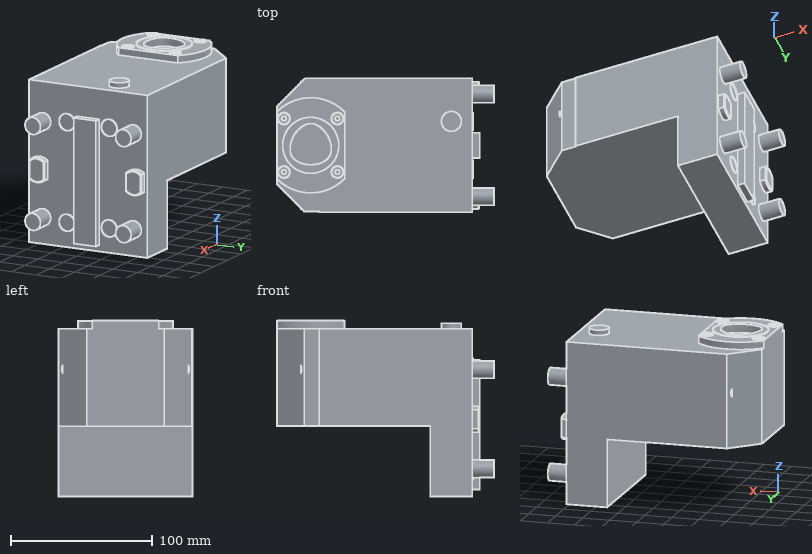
import cadquery as cq
import math


overall_length = 154.0
overall_height = 125.0
body_length = 138.6
body_width = 95.0
half_width = body_width / 2
body_top = 119.0
leg_length = 30.0
leg_height = 49.9
nose_chamfer = 20.0
nose_relief_length = 30.0
nose_relief_depth = 0.54

flange_center_x = 24.0
flange_radius = 33.7
flange_top = 124.5
raised_height = overall_height - flange_top
collar_radius = 19.9

socket_mean_radius = 14.6
socket_lobe = 0.8
socket_depth = 6.2
socket_points = 60

screw_offset = 19.0
screw_head_radius = 4.3
screw_head_chamfer = 0.3
hex_corner_diameter = 3.5
hex_depth = 0.6

cap_x = 123.7
cap_y = 17.0
cap_radius = 7.1
cap_height = 3.8

bolt_y = 36.3
bolt_radius = 12.5 / 2
bolt_spacing_z = 70.2
mount_center_z = 54.8

plug_y = 40.3
plug_z = 90.2
plug_radius = 5.0
plug_face_x = 17.0

pin_y = 38.8
pin_radius = 18.3 / 2
pin_half_thickness = 6.3
pin_length = 5.0
pin_chamfer = 0.8

key_width = 18.0
key_bottom = 5.0
key_top = 96.9
key_length = 5.2

seal_radius = 12.5 / 2
seal_height = 0.5
seal_spacing_z = 73.6


def rod_x(x_start, x_end, y, z, radius):
    """Cylinder parallel to X between two X positions."""
    rod = cq.Workplane("YZ", origin=(x_start, y, z)).circle(radius)
    return rod.extrude(x_end - x_start)


def make_housing():
    side_profile = [
        (0, leg_height),
        (body_length - leg_length, leg_height),
        (body_length - leg_length, 0),
        (body_length, 0),
        (body_length, body_top),
        (0, body_top),
    ]
    housing = cq.Workplane("XZ").polyline(side_profile).close().extrude(half_width, both=True)
    housing = housing.edges("|Z and <X").chamfer(nose_chamfer)

    relief = cq.Workplane("XY").box(
        nose_relief_length, nose_relief_depth, body_top, centered=False
    )
    return housing.cut(relief.translate((0, -half_width, 0)))


def lobed_point(t):
    """Constant-width three-lobed curve with one lobe pointing along +Y."""
    x = socket_mean_radius * math.sin(t) - socket_lobe * (2 * math.sin(2 * t) + math.sin(4 * t))
    y = socket_mean_radius * math.cos(t) + socket_lobe * (2 * math.cos(2 * t) - math.cos(4 * t))
    return x, y


def make_flange():
    flange = cq.Workplane("XY", origin=(flange_center_x, 0, body_top)).circle(flange_radius)
    flange = flange.extrude(flange_top - body_top)
    flats = cq.Workplane("XY", origin=(flange_center_x, 0, body_top)).rect(
        2 * flange_center_x, 2 * flange_radius
    )
    flange = flange.intersect(flats.extrude(flange_top - body_top))

    collar = cq.Workplane("XY", origin=(flange_center_x, 0, flange_top)).circle(collar_radius)
    return flange.union(collar.extrude(raised_height))


def make_spindle_socket():
    points = [lobed_point(2 * math.pi * i / socket_points) for i in range(socket_points)]
    socket = cq.Workplane("XY", origin=(flange_center_x, 0, overall_height))
    return socket.spline(points, periodic=True).close().extrude(-socket_depth)


def screw_positions(z):
    base = cq.Workplane("XY", origin=(flange_center_x, 0, z))
    return base.rect(2 * screw_offset, 2 * screw_offset, forConstruction=True).vertices()


def make_screw_heads():
    heads = screw_positions(flange_top).circle(screw_head_radius).extrude(raised_height)
    return heads.faces(">Z").edges().chamfer(screw_head_chamfer)


def make_screw_hexes():
    hexagon = cq.Sketch().regularPolygon(hex_corner_diameter / 2, 6, angle=90)
    return screw_positions(overall_height).placeSketch(hexagon).extrude(-hex_depth)


def make_locating_pin(side):
    pin = rod_x(body_length, body_length + pin_length, side * pin_y, mount_center_z, pin_radius)
    flats = cq.Workplane("YZ", origin=(body_length, side * pin_y, mount_center_z)).rect(
        2 * pin_half_thickness, 2 * pin_radius
    )
    pin = pin.intersect(flats.extrude(pin_length))
    return pin.faces(">X").edges().chamfer(pin_chamfer)


def make_key():
    key = cq.Workplane("XY").box(
        key_length, key_width, key_top - key_bottom, centered=(False, True, False)
    )
    return key.translate((body_length, 0, key_bottom))


result = make_housing().union(make_flange()).union(make_screw_heads())
result = result.cut(make_spindle_socket()).cut(make_screw_hexes())

cap = cq.Workplane("XY", origin=(cap_x, cap_y, body_top)).circle(cap_radius).extrude(cap_height)
result = result.union(cap).union(make_key())

for side in (-1, 1):
    result = result.union(make_locating_pin(side))

    plug = rod_x(plug_face_x, nose_relief_length, side * plug_y, plug_z, plug_radius)
    result = result.union(plug)

    for level in (-1, 1):
        bolt_z = mount_center_z + level * bolt_spacing_z / 2
        result = result.union(rod_x(body_length, overall_length, side * bolt_y, bolt_z, bolt_radius))

        seal_z = mount_center_z + level * seal_spacing_z / 2
        seal_end = body_length + seal_height
        result = result.union(rod_x(body_length, seal_end, side * cap_y, seal_z, seal_radius))